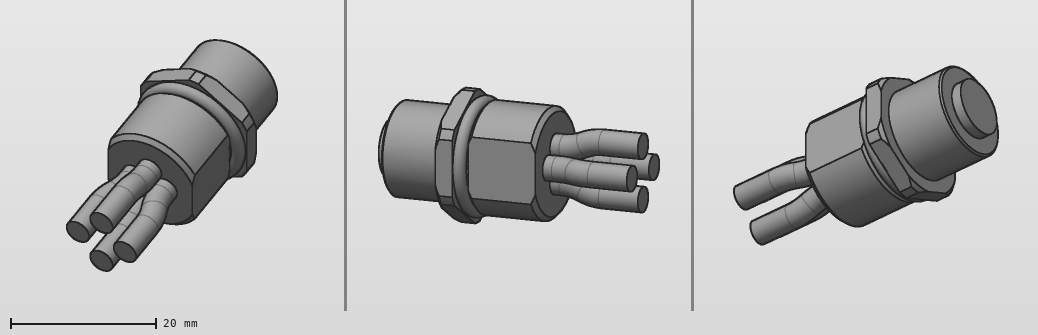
import cadquery as cq
import math

wire_bend_end = 5.95
wire_bend_start = 11.95
body_rear = 13.22
body_front = 23.37
flange_rear = 24.95
flange_front = 27.55
sleeve_front = 36.48
insert_front = 38.0

body_diameter = 16.0
body_flat_width = 13.45
body_rear_chamfer = 0.7
body_front_chamfer = 0.55

flange_flat_width = 17.0
flange_corner_diameter = 18.77
flange_chamfer = 0.57

ring_outer_diameter = 17.0
ring_section_radius = 1.0

sleeve_diameter = 13.5
sleeve_chamfer = 0.25
insert_diameter = 8.3

wire_count = 4
wire_diameter = 3.6
wire_inner_offset = 2.5
wire_outer_offset = 3.75


def cylinder(diameter, start, end):
    """Cylinder on the Y axis between two stations."""
    plane = cq.Workplane("XZ", origin=(0, start, 0))
    return plane.circle(diameter / 2).extrude(start - end)


def rear_body():
    """Body chamfered at both ends, then cut flat on two sides."""
    body = cylinder(body_diameter, body_rear, body_front)
    body = body.faces("<Y").chamfer(body_rear_chamfer)
    body = body.faces(">Y").chamfer(body_front_chamfer)
    length = body_front - body_rear
    between_flats = cq.Workplane("XY").box(body_flat_width, length, body_diameter)
    middle = (body_rear + body_front) / 2
    return body.intersect(between_flats.translate((0, middle, 0)))


def hex_flange():
    """Hexagon with flats facing +X and -X, trimmed by a chamfered cylinder."""
    across_corners = flange_flat_width / math.cos(math.radians(30))
    thickness = flange_front - flange_rear
    prism = (
        cq.Workplane("XZ", origin=(0, flange_rear, 0))
        .transformed(rotate=(0, 0, 90))
        .polygon(6, across_corners)
        .extrude(-thickness)
    )
    blank = cylinder(flange_corner_diameter, flange_rear, flange_front)
    return prism.intersect(blank.faces(">Y").chamfer(flange_chamfer))


def sealing_ring():
    """Ring of round section, touching the front of the body, with its seam on the inner side."""
    centre_radius = ring_outer_diameter / 2 - ring_section_radius
    section = (
        cq.Workplane("XY")
        .center(centre_radius, body_front + ring_section_radius)
        .transformed(rotate=(0, 0, 180))
        .circle(ring_section_radius)
    )
    return section.revolve(360, (centre_radius, 0, 0), (centre_radius, 1, 0))


def wire():
    """One wire on the +X side, swept along two equal and opposite tangent arcs."""
    half_length = (wire_bend_start - wire_bend_end) / 2
    half_step = (wire_outer_offset - wire_inner_offset) / 2
    bend_angle = 2 * math.atan(half_step / half_length)
    bend_radius = half_length / math.sin(bend_angle)
    arc_mid_length = bend_radius * math.sin(bend_angle / 2)
    arc_mid_step = bend_radius * (1 - math.cos(bend_angle / 2))
    path = (
        cq.Workplane("XY")
        .moveTo(wire_outer_offset, 0)
        .lineTo(wire_outer_offset, wire_bend_end)
        .threePointArc(
            (wire_outer_offset - arc_mid_step, wire_bend_end + arc_mid_length),
            (wire_outer_offset - half_step, wire_bend_end + half_length),
        )
        .threePointArc(
            (wire_inner_offset + arc_mid_step, wire_bend_start - arc_mid_length),
            (wire_inner_offset, wire_bend_start),
        )
        .lineTo(wire_inner_offset, body_rear)
    )
    section = cq.Workplane("XZ").center(wire_outer_offset, 0).circle(wire_diameter / 2)
    return section.sweep(path)


sleeve = cylinder(sleeve_diameter, body_front, sleeve_front).faces(">Y").chamfer(sleeve_chamfer)
insert = cylinder(insert_diameter, sleeve_front, insert_front)

result = rear_body().union(sleeve).union(insert).union(hex_flange()).union(sealing_ring())
single_wire = wire()
for index in range(wire_count):
    angle = index * 360 / wire_count
    result = result.union(single_wire.rotate((0, 0, 0), (0, 1, 0), angle))